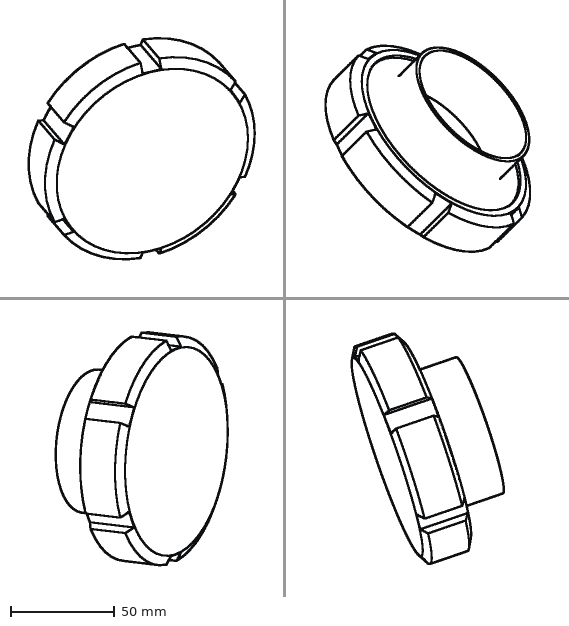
import cadquery as cq
import math

total_length = 47.5
nut_diameter = 111.6
nut_width = 25.0
nut_front = total_length - nut_width
nut_radius = nut_diameter / 2

chamfer_height = 4.9
chamfer_angle = 30.0
chamfer_width = chamfer_height * math.tan(math.radians(chamfer_angle))
nut_face_radius = nut_radius - chamfer_height

neck_radius = 70.0 / 2
bore_radius = 66.0 / 2
bore_depth = 30.0
flare_start = 18.5
flare_size = 3.9

opening_radius = 95.0 / 2
recess_depth = 1.7
flare_radius = 38.2

slot_count = 6
slot_width = 9.9
slot_floor_radius = 51.0


def make_body():
    """Revolve the half section of the neck, cone and nut about X."""
    flare_centre_radius = neck_radius + flare_size
    flare_sweep = math.acos((flare_centre_radius - flare_radius) / flare_size)
    mid_sweep = flare_sweep / 2
    flare_mid = (
        flare_start + flare_size * math.sin(mid_sweep),
        flare_centre_radius - flare_size * math.cos(mid_sweep),
    )
    flare_end = (flare_start + flare_size * math.sin(flare_sweep), flare_radius)
    section = (
        cq.Workplane("XY")
        .moveTo(bore_depth, 0)
        .lineTo(bore_depth, bore_radius)
        .lineTo(0, bore_radius)
        .lineTo(0, neck_radius)
        .lineTo(flare_start, neck_radius)
        .threePointArc(flare_mid, flare_end)
        .lineTo(nut_front + recess_depth, opening_radius)
        .lineTo(nut_front, opening_radius)
        .lineTo(nut_front, nut_face_radius)
        .lineTo(nut_front + chamfer_width, nut_radius)
        .lineTo(total_length - chamfer_width, nut_radius)
        .lineTo(total_length, nut_face_radius)
        .lineTo(total_length, 0)
        .close()
    )
    return section.revolve(360, (0, 0, 0), (1, 0, 0))


def cut_slots(body):
    """Cut flat-bottomed slots through the nut's width, the first one at +Z."""
    slot = cq.Workplane("XY").box(
        nut_width, slot_width, nut_radius, centered=(False, True, False)
    ).translate((nut_front, 0, slot_floor_radius))
    for index in range(slot_count):
        angle = index * 360 / slot_count
        body = body.cut(slot.rotate((0, 0, 0), (1, 0, 0), angle))
    return body


result = cut_slots(make_body())